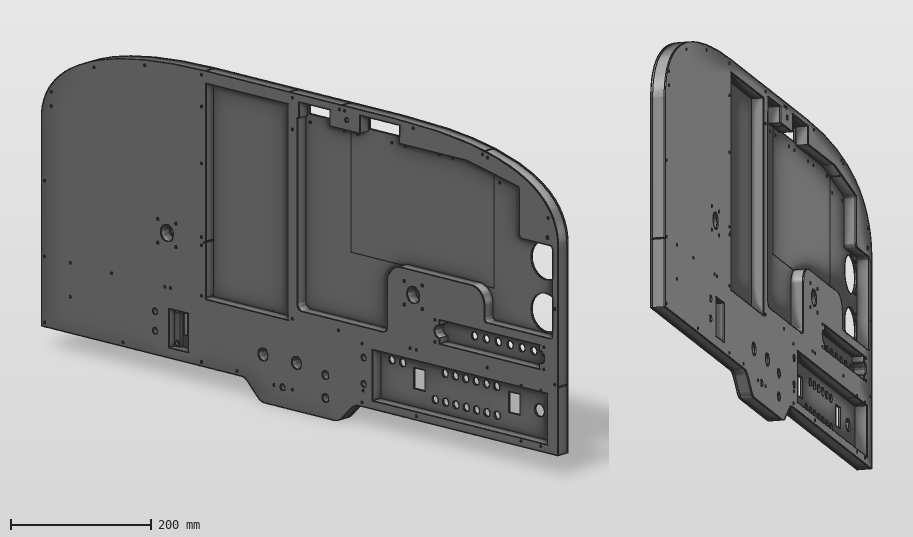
import cadquery as cq
TOTAL_Y = 22.0
SKIN_THICKNESS = 2.0
BACK_THICKNESS = 3.0
CORE_Y = SKIN_THICKNESS
BACK_Y = TOTAL_Y - BACK_THICKNESS

HALF_WIDTH = 500.0
BOARD_TOP = 438.0
SHOULDER_X = 182.0
SHOULDER_Z = 308.0
LEFT_SHOULDER_PULL = (402.0, 385.0)
RIGHT_SHOULDER_PULL = (392.0, 394.0)
TAB_DROP = 31.0
TAB_HALF_BOTTOM = 75.0
TAB_HALF_TOP = TAB_HALF_BOTTOM + TAB_DROP
TAB_FILLET = 20.0

CORE_GAP = 2.0
BOTTOM_SEAM_Z = 100.0

TALL_LEFT = -182.0
TALL_WIDTH = 160.0
TALL_RIGHT = TALL_LEFT + TALL_WIDTH
TALL_BOTTOM = BOTTOM_SEAM_Z
TALL_TOP = 420.0

DISPLAY_LEFT = 82.0
DISPLAY_RIGHT = 359.0
DISPLAY_BOTTOM = 217.0
BACK_SEAM_X = 220.0

WELL_LEFT = -5.0
WELL_BOTTOM = 118.0
WELL_TOP = 403.0
WELL_LEG_RIGHT = 170.0
WELL_ARCH_Z = 220.0
WELL_ARCH_RIGHT = 357.0
WELL_ARCH_RADIUS = 25.0
WELL_SLOPE_START_X = 322.0
WELL_STEP_X = 426.0
WELL_SLOPE_END_Z = 383.0
WELL_STEP_Z = 308.0
WELL_RIGHT = 490.0
WELL_RIGHT_BOTTOM = 170.0
WELL_LEG_RADIUS = 10.0
WELL_CORNER_RADIUS = 6.0

WINDOW_OPENINGS = [(-2.0, 59.0, WELL_TOP, 427.0), (116.0, 194.0, WELL_TOP, 430.0)]
BACK_WINDOWS = [(1.0, 57.0, 406.0, 426.0), (117.0, 191.0, 406.0, 428.0)]

STRIP = (270.0, 465.0, 121.0, 157.0)
STRIP_Z = (STRIP[2] + STRIP[3]) / 2
STRIP_EAR_DIAMETER = 19.0
STRIP_SCREW_OFFSET = 8.0
STRIP_SCREW_RISE = 16.5
STRIP_SWITCH_X = 321.0
STRIP_SWITCH_PITCH = 23.0
STRIP_SWITCH_COUNT = 7

SWITCH_PANEL = (140.0, 480.0, 12.0, 88.0)
SWITCH_DIAMETER = 12.0
SWITCH_PITCH = 20.0
UPPER_SWITCH_Z = 72.5
LOWER_SWITCH_Z = 30.0
SWITCH_PAIR_X = [161.0, 182.0]
UPPER_SWITCH_X = 264.0
UPPER_SWITCH_COUNT = 6
LOWER_SWITCH_X = 245.0
LOWER_SWITCH_COUNT = 7
ROCKER_CENTERS = [(214.0, 54.0), (398.0, 54.0)]
ROCKER_WIDTH = 22.0
ROCKER_HEIGHT = 31.0
KEY_HOLE_CENTER = (447.0, 53.0)

SOCKET = (-254.0, -215.0, 15.0, 73.0)
SOCKET_LEDGE_DEPTH = 13.0
SOCKET_THROAT = (-243.0, -223.0)
SOCKET_SLOT = (-242.0, -235.0, 32.0, 65.0)
SOCKET_SCREW_DIAMETER = 7.0
SOCKET_SCREW_INSET = 5.0

GAUGE_DIAMETER = 57.0
GAUGE_X = 459.0
GAUGE_Z = [200.0, 277.0]
GAUGE_SCREW_OFFSET = 23.5

KNOB_DIAMETER = 25.0
OPEN_KNOB = (-257.0, 184.0)
BLIND_KNOB = (220.0, 184.0)
KNOB_SCREW_DIAMETER = 4.2
KNOB_SCREW_OFFSET = 17.5

SCREW_DIAMETER = 3.6
SIDE_SCREW_X = 494.0
TOP_SCREW_Z = 431.0
SEAM_SCREW_Z = 104.0
BOTTOM_SCREW_Z = 6.0
TALL_SCREW_OFFSET = 8.0
TALL_LEFT_SCREW_X = TALL_LEFT - TALL_SCREW_OFFSET
TALL_RIGHT_SCREW_X = TALL_RIGHT + TALL_SCREW_OFFSET
SEAM_SCREW_X = [
    -SIDE_SCREW_X, -444.0, -364.0, -261.0, -250.0, TALL_LEFT_SCREW_X, TALL_RIGHT_SCREW_X,
    75.0, 214.0, 226.0, 363.0, SIDE_SCREW_X,
]
BOTTOM_SCREW_X = [-SIDE_SCREW_X, -342.0, TALL_LEFT_SCREW_X, -121.0, 121.0, 226.0]
TOP_SCREW_X = [TALL_LEFT_SCREW_X, TALL_RIGHT_SCREW_X, 77.0, 87.0, 220.0]
TALL_LEFT_SCREW_Z = [384.0, 300.0, 191.0, 179.0]
TALL_RIGHT_SCREW_Z = 384.0
SIDE_SCREW_Z = 216.0
SHOULDER_SCREWS = [
    (-481.0, 350.0), (-481.0, 329.0), (-398.0, 402.0), (-300.0, 424.0),
    (354.0, 418.0), (364.0, 415.0), (481.0, 348.0),
]
LOOSE_SCREWS = [(-444.0, 54.0), (121.0, 93.0), (123.0, 24.0), (-50.0, -1.0), (-14.0, -1.0)]
SWITCH_PANEL_SCREW_X = [429.0, 467.0]
SWITCH_PANEL_SCREW_Z = [8.0, 90.0]

WELL_PAIR_X = 3.0
WELL_PAIR_PITCH = 92.0
WELL_PAIR_COUNT = 4
WELL_PAIR_SPACING = 66.0
WELL_PAIR_Z = 394.0
WELL_FLOOR_SCREWS = [(370.0, 375.0), (419.0, 375.0), (160.0, 132.0)]

PILOT_DIAMETER = 2.2
PILOT = (-185.0, 184.0)
SENSOR_DIAMETER = 7.0
SENSOR = (91.0, 418.0)
BLIND_SCREW_DIAMETER = 5.2
BLIND_SCREW = (480.0, 319.0)
LAMP_DIAMETER = 9.7
LAMPS = [(-280.0, 64.0), (-280.0, 35.0), (124.0, 73.0), (124.0, 34.0), (-33.0, -1.0)]
BUTTON_DIAMETER = 13.0
BUTTONS = [(50.0, 33.0), (50.0, -1.0)]
KEY_DIAMETER = 19.0
KEYS = [(-71.0, 40.0), (-6.0, 40.0)]


def layer_plane(y):
    """Sketch plane at depth y; its local axes are X and Z."""
    return cq.Workplane("XZ", origin=(0, y, 0))


def block(left, right, bottom, top, y_start, y_end):
    return cq.Workplane("XY").box(
        right - left, y_end - y_start, top - bottom, centered=False
    ).translate((left, y_start, bottom))


def drill(points, diameter, y_start=0.0, y_end=TOTAL_Y):
    """Round holes along Y, through every layer unless a depth range is given."""
    return layer_plane(y_start).pushPoints(points).circle(diameter / 2).extrude(y_start - y_end)


def square_corners(center, offset):
    x, z = center
    return [(x + i * offset, z + j * offset) for i in (-1, 1) for j in (-1, 1)]


def evenly_spaced(start, pitch, count, z):
    return [(start + i * pitch, z) for i in range(count)]


def board_slab(y_start, y_end):
    """The full board outline between two depths."""
    left_x, left_z = LEFT_SHOULDER_PULL
    right_x, right_z = RIGHT_SHOULDER_PULL
    slab = (
        layer_plane(y_start)
        .moveTo(-HALF_WIDTH, 0)
        .lineTo(-HALF_WIDTH, SHOULDER_Z)
        .bezier([
            (-HALF_WIDTH, SHOULDER_Z), (-HALF_WIDTH, left_z),
            (-left_x, BOARD_TOP), (-SHOULDER_X, BOARD_TOP),
        ])
        .lineTo(SHOULDER_X, BOARD_TOP)
        .bezier([
            (SHOULDER_X, BOARD_TOP), (right_x, BOARD_TOP),
            (HALF_WIDTH, right_z), (HALF_WIDTH, SHOULDER_Z),
        ])
        .lineTo(HALF_WIDTH, 0)
        .lineTo(TAB_HALF_TOP, 0)
        .lineTo(TAB_HALF_BOTTOM, -TAB_DROP)
        .lineTo(-TAB_HALF_BOTTOM, -TAB_DROP)
        .lineTo(-TAB_HALF_TOP, 0)
        .close()
        .extrude(y_start - y_end)
    )
    tab_corners = [
        edge for edge in slab.edges("|Y").vals()
        if abs(edge.Center().x) < TAB_HALF_TOP + TAB_FILLET and edge.Center().z < SHOULDER_Z
    ]
    return slab.newObject(tab_corners).fillet(TAB_FILLET)


def round_corners(shape, corners, radius):
    """Fillet the edges along Y that stand at the given X-Z corners."""
    chosen = [
        edge for edge in shape.edges("|Y").vals() for x, z in corners
        if abs(edge.Center().x - x) + abs(edge.Center().z - z) < radius / 2
    ]
    return shape.newObject(chosen).fillet(radius)


def well_cutter():
    """Large stepped pocket, open down to the back layer."""
    well = (
        layer_plane(0)
        .moveTo(WELL_LEFT, WELL_TOP)
        .lineTo(WELL_LEFT, WELL_BOTTOM)
        .lineTo(WELL_LEG_RIGHT, WELL_BOTTOM)
        .lineTo(WELL_LEG_RIGHT, WELL_ARCH_Z)
        .lineTo(WELL_ARCH_RIGHT, WELL_ARCH_Z)
        .lineTo(WELL_ARCH_RIGHT, WELL_RIGHT_BOTTOM)
        .lineTo(WELL_RIGHT, WELL_RIGHT_BOTTOM)
        .lineTo(WELL_RIGHT, WELL_STEP_Z)
        .lineTo(WELL_STEP_X, WELL_STEP_Z)
        .lineTo(WELL_STEP_X, WELL_SLOPE_END_Z)
        .lineTo(WELL_SLOPE_START_X, WELL_TOP)
        .close()
        .extrude(-BACK_Y)
    )

    well = round_corners(
        well, [(WELL_LEFT, WELL_BOTTOM), (WELL_LEG_RIGHT, WELL_BOTTOM)], WELL_LEG_RADIUS
    )
    well = round_corners(
        well, [(WELL_LEG_RIGHT, WELL_ARCH_Z), (WELL_ARCH_RIGHT, WELL_ARCH_Z)], WELL_ARCH_RADIUS
    )
    return round_corners(
        well,
        [
            (WELL_ARCH_RIGHT, WELL_RIGHT_BOTTOM), (WELL_RIGHT, WELL_RIGHT_BOTTOM),
            (WELL_RIGHT, WELL_STEP_Z), (WELL_STEP_X, WELL_STEP_Z), (WELL_STEP_X, WELL_SLOPE_END_Z),
        ],
        WELL_CORNER_RADIUS,
    )


def front_pockets():
    """Openings through the skin and core that stop at the back layer."""
    strip_ears = [(STRIP[0], STRIP_Z), (STRIP[1], STRIP_Z)]
    return [
        block(TALL_LEFT, TALL_RIGHT, TALL_BOTTOM, TALL_TOP, 0, BACK_Y),
        well_cutter(),
        *[block(*opening, 0, BACK_Y) for opening in WINDOW_OPENINGS],
        block(*STRIP, 0, BACK_Y),
        drill(strip_ears, STRIP_EAR_DIAMETER, 0, BACK_Y),
        block(*SWITCH_PANEL, 0, BACK_Y),
        drill([BLIND_KNOB], KNOB_DIAMETER, 0, BACK_Y),
        drill([BLIND_SCREW], BLIND_SCREW_DIAMETER, 0, BACK_Y),
    ]


def socket_cutters():
    """Ledged opening with a throat down to the back layer and a slot through it."""
    left, right, bottom, top = SOCKET
    screws = [
        (x, z)
        for x in (left + SOCKET_SCREW_INSET, right - SOCKET_SCREW_INSET)
        for z in (bottom + SOCKET_SCREW_INSET, top - SOCKET_SCREW_INSET)
    ]
    return [
        block(*SOCKET, 0, SOCKET_LEDGE_DEPTH),
        block(*SOCKET_THROAT, bottom, top, 0, BACK_Y),
        block(*SOCKET_SLOT, BACK_Y, TOTAL_Y),
        drill(screws, SOCKET_SCREW_DIAMETER, 0, BACK_Y),
    ]


def back_openings():
    """Windows, rocker openings, gauges and floor screws in the back layer."""
    rockers = layer_plane(BACK_Y).pushPoints(ROCKER_CENTERS).rect(ROCKER_WIDTH, ROCKER_HEIGHT)
    gauge_screws = [
        (GAUGE_X + GAUGE_SCREW_OFFSET, z + side * GAUGE_SCREW_OFFSET)
        for z in GAUGE_Z for side in (-1, 1)
    ]
    pair_screws = [
        (WELL_PAIR_X + i * WELL_PAIR_PITCH + shift, WELL_PAIR_Z)
        for i in range(WELL_PAIR_COUNT) for shift in (0, WELL_PAIR_SPACING)
    ]
    floor_screws = gauge_screws + pair_screws + WELL_FLOOR_SCREWS
    return [
        *[block(*window, BACK_Y, TOTAL_Y) for window in BACK_WINDOWS],
        rockers.extrude(-BACK_THICKNESS),
        drill([(GAUGE_X, z) for z in GAUGE_Z], GAUGE_DIAMETER, BACK_Y),
        drill(floor_screws, SCREW_DIAMETER, BACK_Y),
    ]


def switch_holes():
    points = (
        evenly_spaced(STRIP_SWITCH_X, STRIP_SWITCH_PITCH, STRIP_SWITCH_COUNT, STRIP_Z)
        + [(x, UPPER_SWITCH_Z) for x in SWITCH_PAIR_X]
        + evenly_spaced(UPPER_SWITCH_X, SWITCH_PITCH, UPPER_SWITCH_COUNT, UPPER_SWITCH_Z)
        + evenly_spaced(LOWER_SWITCH_X, SWITCH_PITCH, LOWER_SWITCH_COUNT, LOWER_SWITCH_Z)
    )
    return drill(points, SWITCH_DIAMETER)


def screw_holes():
    strip_screws = [
        (x, STRIP_Z + side * STRIP_SCREW_RISE)
        for x in (STRIP[0] - STRIP_SCREW_OFFSET, STRIP[1] + STRIP_SCREW_OFFSET)
        for side in (-1, 1)
    ]
    points = (
        [(x, SEAM_SCREW_Z) for x in SEAM_SCREW_X]
        + [(x, BOTTOM_SCREW_Z) for x in BOTTOM_SCREW_X]
        + [(x, TOP_SCREW_Z) for x in TOP_SCREW_X]
        + [(TALL_LEFT_SCREW_X, z) for z in TALL_LEFT_SCREW_Z]
        + [(TALL_RIGHT_SCREW_X, TALL_RIGHT_SCREW_Z)]
        + [(side * SIDE_SCREW_X, SIDE_SCREW_Z) for side in (-1, 1)]
        + [(x, z) for x in SWITCH_PANEL_SCREW_X for z in SWITCH_PANEL_SCREW_Z]
        + strip_screws
        + SHOULDER_SCREWS
        + LOOSE_SCREWS
    )
    return drill(points, SCREW_DIAMETER)


def through_holes():
    knob_screws = [
        point for knob in (OPEN_KNOB, BLIND_KNOB) for point in square_corners(knob, KNOB_SCREW_OFFSET)
    ]
    return [
        switch_holes(),
        screw_holes(),
        drill([OPEN_KNOB], KNOB_DIAMETER),
        drill(knob_screws, KNOB_SCREW_DIAMETER),
        drill([PILOT], PILOT_DIAMETER),
        drill([SENSOR], SENSOR_DIAMETER),
        drill(LAMPS, LAMP_DIAMETER),
        drill(BUTTONS, BUTTON_DIAMETER),
        drill(KEYS + [KEY_HOLE_CENTER], KEY_DIAMETER),
    ]


def cut_layer(y_start, y_end):
    """A full layer of the board with every opening that reaches it."""
    openings = front_pockets() + socket_cutters() + back_openings() + through_holes()
    cutters = [solid for opening in openings for solid in opening.vals()]
    return cq.Workplane(board_slab(y_start, y_end).val().cut(*cutters))


def layer_piece(layer, left, right, bottom, top):
    """The part of a layer inside an X-Z rectangle."""
    return layer.intersect(block(left, right, bottom, top, 0, TOTAL_Y))


front_skin = cut_layer(0, CORE_Y)

core = cut_layer(CORE_Y, BACK_Y)
upper_core_z = BOTTOM_SEAM_Z + CORE_GAP
left_core = layer_piece(core, -HALF_WIDTH, TALL_LEFT - CORE_GAP, upper_core_z, BOARD_TOP)
bottom_core = layer_piece(core, -HALF_WIDTH, HALF_WIDTH, -TAB_DROP, BOTTOM_SEAM_Z)
tall_header = layer_piece(core, TALL_LEFT, TALL_RIGHT, TALL_TOP, BOARD_TOP)
display_header = layer_piece(
    core, DISPLAY_LEFT, DISPLAY_RIGHT - CORE_GAP, SHOULDER_Z, BOARD_TOP
)
header_space = block(
    DISPLAY_LEFT - CORE_GAP, DISPLAY_RIGHT, SHOULDER_Z, BOARD_TOP, CORE_Y, BACK_Y
)
right_core = layer_piece(
    core, TALL_RIGHT + CORE_GAP, HALF_WIDTH, upper_core_z, BOARD_TOP
).cut(header_space)

back = cut_layer(BACK_Y, TOTAL_Y)
display_space = block(
    DISPLAY_LEFT, DISPLAY_RIGHT, DISPLAY_BOTTOM, BOARD_TOP, BACK_Y, TOTAL_Y
)
bottom_back = layer_piece(back, -HALF_WIDTH, HALF_WIDTH, -TAB_DROP, BOTTOM_SEAM_Z)
left_back = layer_piece(back, -HALF_WIDTH, BACK_SEAM_X, BOTTOM_SEAM_Z, BOARD_TOP).cut(display_space)
right_back = layer_piece(back, BACK_SEAM_X, HALF_WIDTH, BOTTOM_SEAM_Z, BOARD_TOP).cut(display_space)
display_panel = back.intersect(display_space)

bodies = [
    front_skin,
    left_core, bottom_core, tall_header, display_header, right_core,
    bottom_back, left_back, right_back, display_panel,
]
result = cq.Compound.makeCompound([solid for body in bodies for solid in body.solids().vals()])